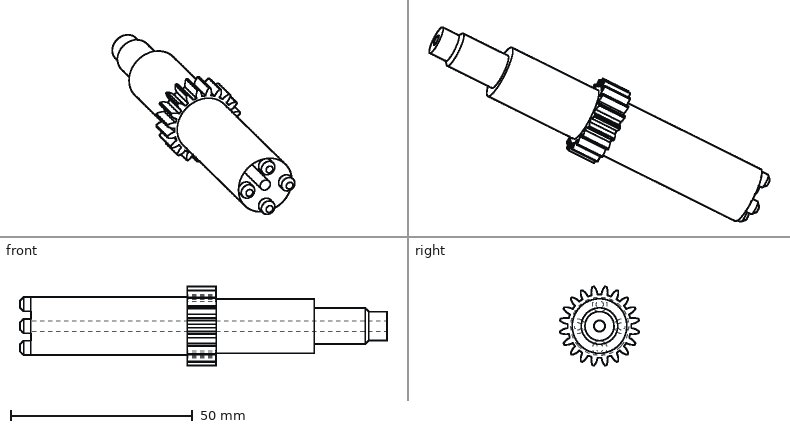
import cadquery as cq
import math

BODY_DIAMETER = 16.0
BODY_LENGTH = 43.0
GEAR_WIDTH = 8.0
COLLAR_DIAMETER = 15.0
COLLAR_LENGTH = 27.0
JOURNAL_DIAMETER = 10.0
JOURNAL_LENGTH = 15.0
END_DIAMETER = 8.0
END_LENGTH = 5.0
BORE_DIAMETER = 3.0

PIN_COUNT = 4
PIN_DIAMETER = 4.0
PIN_LENGTH = 3.0
PIN_CHAMFER = 1.0
PIN_CIRCLE_RADIUS = (BODY_DIAMETER - PIN_DIAMETER) / 2

MODULE = 1.0
TOOTH_COUNT = 20
PITCH_RADIUS = MODULE * TOOTH_COUNT / 2
TIP_RADIUS = PITCH_RADIUS + MODULE
DEDENDUM = 1.25 * MODULE
ROOT_RADIUS = PITCH_RADIUS - DEDENDUM
TOOTH_PITCH = 360 / TOOTH_COUNT
TIP_THICKNESS = 0.5
PITCH_THICKNESS = 1.4
ROOT_THICKNESS = 1.7
ROOT_OVERLAP = 0.5

GEAR_END = BODY_LENGTH + GEAR_WIDTH
COLLAR_END = GEAR_END + COLLAR_LENGTH
JOURNAL_END = COLLAR_END + JOURNAL_LENGTH
SHAFT_END = JOURNAL_END + END_LENGTH
JOURNAL_CHAMFER = (JOURNAL_DIAMETER - END_DIAMETER) / 2


def cylinder(diameter, start, end):
    """Cylinder on the X axis between two stations."""
    return cq.Workplane("YZ", origin=(start, 0, 0)).circle(diameter / 2).extrude(end - start)


def flank_point(radius, thickness):
    """Point on the upper flank of a tooth centred on +Y, where the tooth has this thickness."""
    half_thickness = thickness / 2
    return (math.sqrt(radius**2 - half_thickness**2), half_thickness)


def mirrored(point):
    return (point[0], -point[1])


def make_tooth():
    """One tooth centred on +Y, each flank a single arc from root to tip."""
    tip = flank_point(TIP_RADIUS, TIP_THICKNESS)
    pitch = flank_point(PITCH_RADIUS, PITCH_THICKNESS)
    root = flank_point(ROOT_RADIUS, ROOT_THICKNESS)
    foot = (root[0] - ROOT_OVERLAP, root[1])
    return (
        cq.Workplane("YZ", origin=(BODY_LENGTH, 0, 0))
        .moveTo(*mirrored(foot))
        .lineTo(*mirrored(root))
        .threePointArc(mirrored(pitch), mirrored(tip))
        .threePointArc((TIP_RADIUS, 0), tip)
        .threePointArc(pitch, root)
        .lineTo(*foot)
        .close()
        .extrude(GEAR_WIDTH)
    )


def make_gear():
    """Gear with tooth gaps centred on the Y and Z axes."""
    gear = cylinder(2 * ROOT_RADIUS, BODY_LENGTH, GEAR_END)
    tooth = make_tooth()
    for i in range(TOOTH_COUNT):
        angle = (i + 0.5) * TOOTH_PITCH
        gear = gear.union(tooth.rotate((0, 0, 0), (1, 0, 0), angle))
    return gear


def make_shaft():
    """Body, collar, journal chamfered down to the end spigot, and the spigot itself."""
    body = cylinder(BODY_DIAMETER, 0, BODY_LENGTH)
    collar = cylinder(COLLAR_DIAMETER, GEAR_END, COLLAR_END)
    journal = cylinder(JOURNAL_DIAMETER, COLLAR_END, JOURNAL_END)
    journal = journal.faces(">X").chamfer(JOURNAL_CHAMFER)
    spigot = cylinder(END_DIAMETER, JOURNAL_END, SHAFT_END)
    return body.union(make_gear()).union(collar).union(journal).union(spigot)


def make_pins():
    """Pins with chamfered tips standing out from the end face along -X."""
    return (
        cq.Workplane("YZ")
        .polarArray(PIN_CIRCLE_RADIUS, 0, 360, PIN_COUNT)
        .circle(PIN_DIAMETER / 2)
        .extrude(-PIN_LENGTH)
        .faces("<X")
        .chamfer(PIN_CHAMFER)
    )


bore = cylinder(BORE_DIAMETER, 0, SHAFT_END)
result = make_shaft().union(make_pins()).cut(bore)